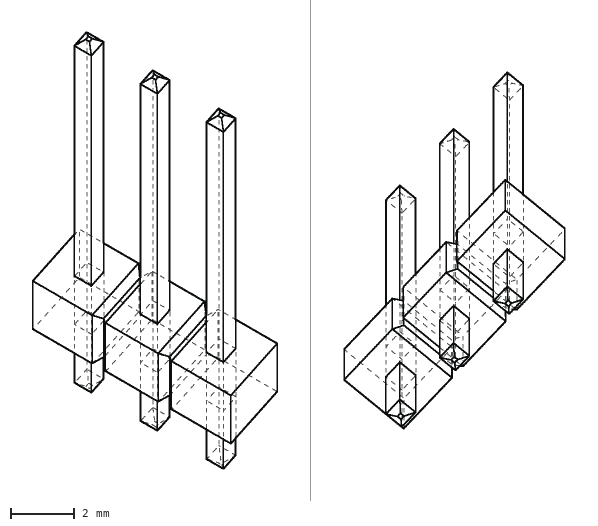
import cadquery as cq

pin_count = 3
pitch = 2.55
housing_depth = 2.49
housing_height = 2.55
groove_chamfer = 0.25
pin_width = 0.65
pin_length = 18.29
tail_length = 3.35
tip_chamfer = 0.25

pin_positions = [(i - (pin_count - 1) / 2) * pitch for i in range(pin_count)]


def make_pin(x):
    """Square pin with a blunt pyramid at each end."""
    return (
        cq.Workplane("XY")
        .box(pin_width, pin_width, pin_length, centered=(True, True, False))
        .faces("<Z or >Z")
        .chamfer(tip_chamfer)
        .translate((x, 0, -tail_length))
    )


def make_cell(index):
    """One housing cell, bevelled only on the ends that meet a neighbour."""
    cell = cq.Workplane("XY").box(pitch, housing_depth, housing_height, centered=(True, True, False))
    if index > 0:
        cell = cell.faces("<X").chamfer(groove_chamfer)
    if index < pin_count - 1:
        cell = cell.faces(">X").chamfer(groove_chamfer)
    return cell.translate((pin_positions[index], 0, 0))


def make_housing():
    """Row of joined cells parted by V-grooves, with a square through hole for each pin."""
    body = make_cell(0)
    for index in range(1, pin_count):
        body = body.union(make_cell(index))
    pin_holes = (
        cq.Workplane("XY")
        .pushPoints([(x, 0) for x in pin_positions])
        .rect(pin_width, pin_width)
        .extrude(housing_height)
    )
    return body.cut(pin_holes)


housing = make_housing()
pins = [make_pin(x) for x in pin_positions]

result = cq.Compound.makeCompound([housing.solids().val(), *[pin.solids().val() for pin in pins]])